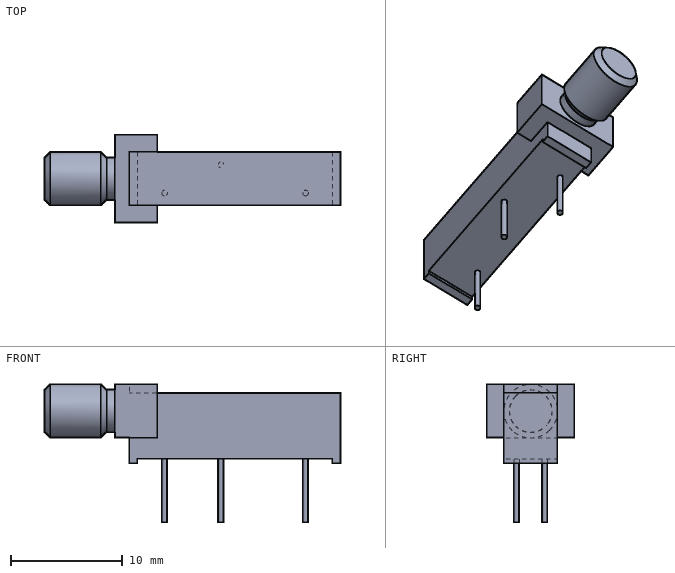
import cadquery as cq

BODY_LENGTH = 19.05
BODY_WIDTH = 4.83
BODY_TOP = 6.35
FOOT_LENGTH = 0.76
FOOT_HEIGHT = 0.41

BRACKET_LENGTH = 3.81
BRACKET_WIDTH = 7.92
BRACKET_HEIGHT = 4.83
BRACKET_OVERHANG = 1.27
BRACKET_TOP = 7.14

KNOB_DIAMETER = 4.83
KNOB_CHAMFER = 0.51
KNOB_LENGTH = 5.59
NECK_DIAMETER = 3.86
NECK_LENGTH = 0.76

PIN_DIAMETER = 0.51
PIN_TIP = -5.31
PIN_OFFSET = 1.27
PIN_PITCH = 2.54
FIRST_PIN_X = 3.18
PIN_PLACES = [
    (FIRST_PIN_X, -PIN_OFFSET),
    (FIRST_PIN_X + 2 * PIN_PITCH, PIN_OFFSET),
    (FIRST_PIN_X + 5 * PIN_PITCH, -PIN_OFFSET),
]

BRACKET_FRONT = -BRACKET_OVERHANG
KNOB_AXIS_Z = BRACKET_TOP - BRACKET_HEIGHT / 2


def box_from(x_start, z_bottom, length, width, height):
    """Box centred on Y = 0 that grows in +X and +Z from its lower front edge."""
    return (
        cq.Workplane("XY")
        .box(length, width, height, centered=(False, True, False))
        .translate((x_start, 0, z_bottom))
    )


def cylinder_along_x(x_start, diameter, length):
    """Cylinder on the knob axis that grows in +X."""
    return (
        cq.Workplane("YZ", origin=(x_start, 0, KNOB_AXIS_Z))
        .circle(diameter / 2)
        .extrude(length)
    )


def make_body():
    """Block raised on a full-width foot at each end."""
    body = box_from(0, FOOT_HEIGHT, BODY_LENGTH, BODY_WIDTH, BODY_TOP - FOOT_HEIGHT)
    for foot_x in (0, BODY_LENGTH - FOOT_LENGTH):
        foot = box_from(foot_x, 0, FOOT_LENGTH, BODY_WIDTH, FOOT_HEIGHT)
        body = body.union(foot)
    return body


def make_bracket():
    """Block with a full-height slot, open at the back, that receives the body."""
    bracket_bottom = BRACKET_TOP - BRACKET_HEIGHT
    block = box_from(BRACKET_FRONT, bracket_bottom, BRACKET_LENGTH, BRACKET_WIDTH, BRACKET_HEIGHT)
    slot = box_from(0, bracket_bottom, BRACKET_LENGTH, BODY_WIDTH, BRACKET_HEIGHT)
    return block.cut(slot)


def make_knob():
    """Knob chamfered at both ends, joined to the bracket by its neck."""
    neck_start = BRACKET_FRONT - NECK_LENGTH
    knob = cylinder_along_x(neck_start - KNOB_LENGTH, KNOB_DIAMETER, KNOB_LENGTH)
    knob = knob.edges().chamfer(KNOB_CHAMFER)
    return knob.union(cylinder_along_x(neck_start, NECK_DIAMETER, NECK_LENGTH))


def make_pins():
    """Pins rising from their tips to the underside of the body."""
    return (
        cq.Workplane("XY", origin=(0, 0, PIN_TIP))
        .pushPoints(PIN_PLACES)
        .circle(PIN_DIAMETER / 2)
        .extrude(FOOT_HEIGHT - PIN_TIP)
    )


result = make_body().union(make_bracket()).union(make_knob()).union(make_pins())